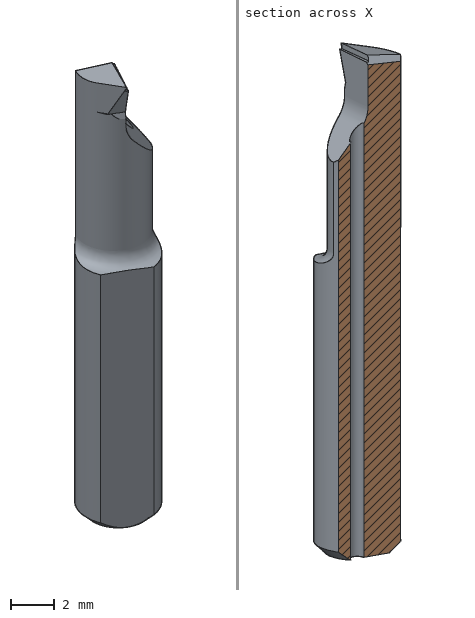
import cadquery as cq
import math

length = 24.0
shank_diameter = 4.0
shank_radius = shank_diameter / 2
flat_x = 1.548
base_chamfer = 0.48

neck_radius = 1.8
neck_center_x = -0.82
neck_right_x = neck_center_x + neck_radius
neck_base_z = 14.02
neck_fillet = 0.77

face_y = 0.1
face_bottom_z = 21.6
runout_radius = 1.4
runout_angle = math.radians(42)

tip_x = 1.5
nick_bottom_z = 21.94
nick_x = 0.9
nick_z = 22.27
top_relief_angle = 7.0
corner_chamfer = 1.27
corner_twist = 3.5
chip_step_z = 23.74
chip_step_tip_y = -0.02
chip_step_heel_x = -0.86
chip_step_heel_y = -0.1
chip_step_heel_slope = 1.4

coolant_diameter = 0.7
coolant_x = -1.08
coolant_y = 0.65

margin = 1.2
reach = shank_diameter


def make_shank():
    bar = cq.Workplane("XY").circle(shank_radius).extrude(length)
    bar = bar.faces("<Z").chamfer(base_chamfer)
    flat = cq.Workplane("XY").box(reach, 2 * reach, length + 2 * margin, centered=(False, True, False))
    return bar.cut(flat.translate((flat_x, 0, -margin)))


def make_neck_envelope():
    """Everything to keep: the neck cylinder, its flared root, the shank below and the cutting nose."""
    root_top_z = neck_base_z + neck_fillet
    root_outer = neck_radius + neck_fillet
    arc_offset = neck_fillet * (1 - math.sqrt(0.5))
    profile = (
        cq.Workplane("XZ")
        .moveTo(0, -margin)
        .lineTo(2 * reach, -margin)
        .lineTo(2 * reach, neck_base_z)
        .lineTo(root_outer, neck_base_z)
        .threePointArc((neck_radius + arc_offset, neck_base_z + arc_offset), (neck_radius, root_top_z))
        .lineTo(neck_radius, length)
        .lineTo(0, length)
        .close()
    )
    body = profile.revolve(360, (0, 0, 0), (0, 1, 0)).translate((neck_center_x, 0, 0))
    return body.union(make_nose())


def make_nose():
    """Nose whose flank runs from the tip tangentially onto the neck cylinder."""
    tangent_angle = math.acos(neck_radius / (tip_x - neck_center_x))
    tangent_x = neck_center_x + neck_radius * math.cos(tangent_angle)
    tangent_y = -neck_radius * math.sin(tangent_angle)
    outline = [
        (neck_center_x, face_y),
        (tip_x, face_y),
        (tip_x, 0),
        (tangent_x, tangent_y),
        (neck_center_x, 0),
    ]
    nose_height = length - nick_z
    return cq.Workplane("XY").workplane(offset=nick_z).polyline(outline).close().extrude(nose_height)


def nose_undercut():
    """Space under the nose, with a small nick where it meets the neck."""
    outline = [
        (tip_x, length),
        (nick_x, nick_z),
        (neck_right_x, nick_bottom_z),
        (reach, nick_bottom_z),
        (reach, length),
    ]
    return cq.Workplane("XZ").polyline(outline).close().extrude(reach, both=True)


def face_cut():
    """Material removed on +Y above the cutting face and its runout."""
    center_y = face_y + runout_radius

    def arc_point(angle):
        return center_y - runout_radius * math.cos(angle), face_bottom_z - runout_radius * math.sin(angle)

    arc_end_y, arc_end_z = arc_point(runout_angle)
    slope_end_z = arc_end_z - (reach - arc_end_y) / math.tan(runout_angle)
    return (
        cq.Workplane("YZ")
        .moveTo(face_y, length + margin)
        .lineTo(face_y, face_bottom_z)
        .threePointArc(arc_point(runout_angle / 2), (arc_end_y, arc_end_z))
        .lineTo(reach, slope_end_z)
        .lineTo(reach, length + margin)
        .close()
        .extrude(reach, both=True)
    )


def top_relief_cut():
    """Top face falling from the cutting edge toward -Y."""
    drop = reach * math.tan(math.radians(top_relief_angle))
    outline = [(0, length), (-reach, length - drop), (-reach, length)]
    return cq.Workplane("YZ").polyline(outline).close().extrude(reach, both=True)


def corner_cut():
    """45 degree bevel on the -X side of the top, turned slightly about Z."""
    outline = [
        (-shank_radius - margin, length - corner_chamfer - margin),
        (-shank_radius + corner_chamfer + margin, length + margin),
        (-shank_radius - margin, length + margin),
    ]
    wedge = cq.Workplane("XZ").polyline(outline).close().extrude(reach, both=True)
    top_edge_x = -shank_radius + corner_chamfer
    return wedge.rotate((top_edge_x, 0, 0), (top_edge_x, 0, 1), corner_twist)


def chip_step_cut():
    """Shallow step along the cutting edge, deepening away from the tip."""
    outline = [
        (tip_x, chip_step_tip_y),
        (chip_step_heel_x, chip_step_heel_y),
        (chip_step_heel_x - chip_step_heel_slope * (margin - chip_step_heel_y), margin),
        (tip_x, margin),
    ]
    return cq.Workplane("XY").workplane(offset=chip_step_z).polyline(outline).close().extrude(margin)


def coolant_hole():
    hole = cq.Workplane("XY").center(coolant_x, coolant_y).circle(coolant_diameter / 2)
    return hole.extrude(length)


result = make_shank().intersect(make_neck_envelope())
for cutter in (
    nose_undercut(),
    face_cut(),
    top_relief_cut(),
    corner_cut(),
    chip_step_cut(),
    coolant_hole(),
):
    result = result.cut(cutter)